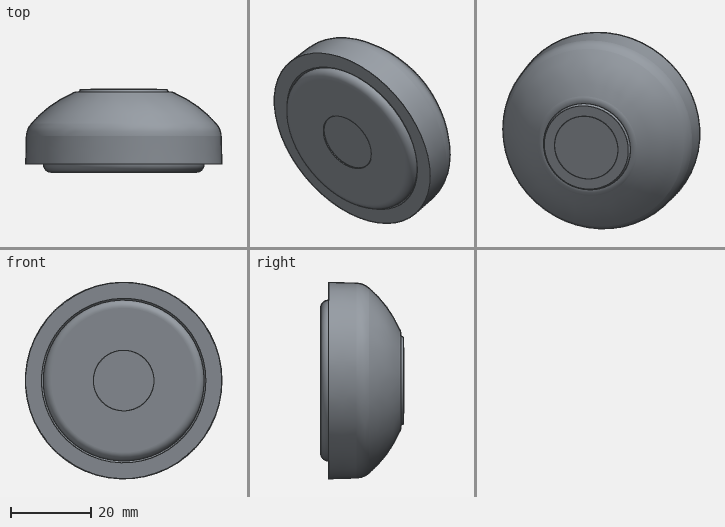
import cadquery as cq
import math


pad_radius = 20.05
pad_proud = 2.0
pad_depth = pad_proud
pad_rounding = pad_proud
dimple_radius = 7.55
dimple_depth = 0.4

mouth_radius = 20.5
base_radius = 24.5
wall_top_radius = 24.3
wall_height = 6.95
shoulder_mid_radius = 23.9
shoulder_mid_height = 8.7
shoulder_radius = 23.05
shoulder_height = 10.1
dome_mid_radius = 18.15
dome_mid_height = 14.6
dome_top_radius = 12.9
dome_top_height = 17.6
rim_mid_radius = 12.2
rim_mid_height = 17.95
cap_foot_radius = 11.15
cap_foot_height = 18.0
cap_radius = 10.8
cap_height = 18.65
land_radius = 8.15
land_rise = 0.1

mouth_chamfer = mouth_radius - pad_radius
land_height = cap_height + land_rise


def turned(half_profile):
    """Close a half profile in the XY plane and turn it about the Y axis."""
    return half_profile.close().revolve(360, (0, 0, 0), (0, 1, 0))


def make_housing():
    recess = (
        cq.Workplane("XY")
        .moveTo(0, pad_depth)
        .lineTo(pad_radius, pad_depth)
        .lineTo(pad_radius, mouth_chamfer)
        .lineTo(mouth_radius, 0)
    )
    wall_and_dome = (
        recess.lineTo(base_radius, 0)
        .lineTo(wall_top_radius, wall_height)
        .threePointArc((shoulder_mid_radius, shoulder_mid_height), (shoulder_radius, shoulder_height))
        .threePointArc((dome_mid_radius, dome_mid_height), (dome_top_radius, dome_top_height))
        .threePointArc((rim_mid_radius, rim_mid_height), (cap_foot_radius, cap_foot_height))
    )
    cap = (
        wall_and_dome.lineTo(cap_radius, cap_height)
        .lineTo(land_radius, cap_height)
        .lineTo(land_radius, land_height)
        .lineTo(0, land_height)
    )
    return turned(cap)


def make_pad():
    face_radius = pad_radius - pad_rounding
    face_level = -pad_proud
    dimple_level = face_level + dimple_depth
    arc_mid_offset = pad_rounding * math.sqrt(0.5)
    profile = (
        cq.Workplane("XY")
        .moveTo(0, pad_depth)
        .lineTo(pad_radius, pad_depth)
        .lineTo(pad_radius, face_level + pad_rounding)
        .threePointArc(
            (face_radius + arc_mid_offset, face_level + pad_rounding - arc_mid_offset),
            (face_radius, face_level),
        )
        .lineTo(dimple_radius, face_level)
        .lineTo(dimple_radius, dimple_level)
        .lineTo(0, dimple_level)
    )
    return turned(profile)


housing = make_housing()
pad = make_pad()

result = cq.Compound.makeCompound([housing.val(), pad.val()])